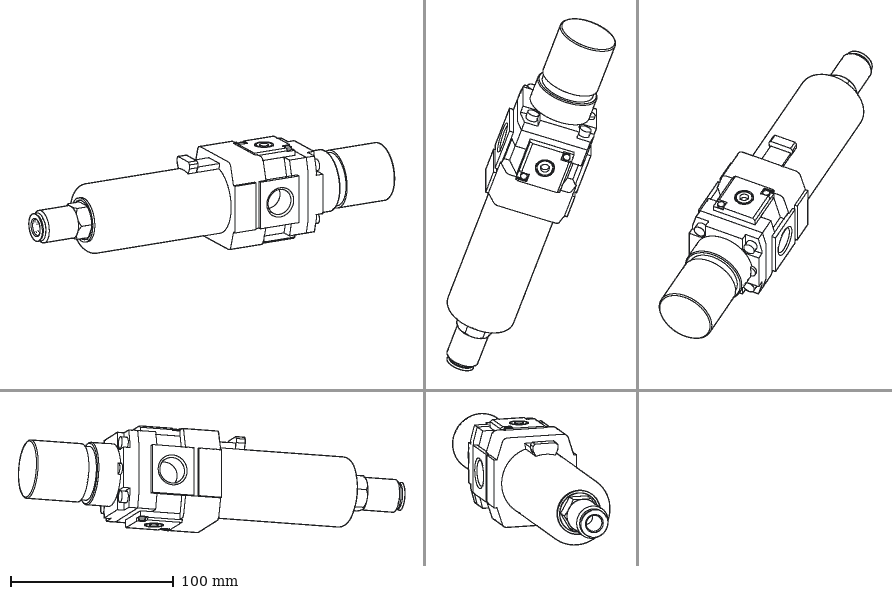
import cadquery as cq
import math


knob_end = 85.3
knob_bottom = 51.5
collar_top = 46.2
flange_top = 31.2
bonnet_joint = 21.0
recess_top = 9.3
shoulder = -9.0
body_bottom = -31.8
bowl_end = -123.0
boss_end = -124.4
hex_end = -132.4
barrel_end = -152.9
ring_start = -154.5
drain_end = -157.0

side_flat = 15.0
waist_half_width = 23.9
waist_top_half_width = 21.4
waist_half_height = 24.4
skirt_half_width = 24.7
skirt_top_half_width = 20.5
skirt_top = 28.5
skirt_bottom = -27.9
skirt_top_fillet = 3.6
skirt_bottom_fillet = 3.0
pad_half_width = 26.5
port_pad_top = 13.2
port_pad_bottom = -14.0
lower_pad_top = -17.0
recess_floor_z = 9.0
recess_floor_inner_x = 18.8
recess_floor_outer_x = 22.3

port_radius = 8.0
port_mouth_radius = 9.4
port_chamfer = 1.0
port_depth = 15.0
drill_tip_angle = 118.0

collar_radius = 19.3
collar_chamfer = 0.7
screw_offset = 17.0
screw_head_radius = 3.6
screw_head_height = 4.0
screw_clearance = 0.7
screw_seat = 26.8
vent_radius = 3.5
vent_reach = 22.5
vent_top = 32.9
knob_radius = 18.05
knob_chamfer = 0.8
neck_radius = 16.6

cover_half_width = 14.3
cover_top = 16.9
cover_lip = -10.6
cover_face = 29.45
cover_bevel_width = 1.6
cover_bevel_height = 1.3
notch_inner_x = 7.6
notch_length = 5.1
lower_notch_start = -9.4
notch_depth = 1.8
cover_screw_radius = 2.1
cover_screw_height = 1.4
cover_screw_x = 10.3
plug_recess_radius = 5.8
plug_radius = 4.9
plug_recess_depth = 1.5
plug_socket_radius = 2.7
plug_socket_depth = 3.0

bowl_radius = 21.7
bowl_fillet = 5.2
boss_radius = 13.8
boss_recess_radius = 12.3
boss_recess_depth = 1.2
hex_flat_radius = 9.95
hex_chamfer = 1.4
barrel_radius = 10.15
drain_neck_radius = 5.8
ring_radius = 8.7
ring_groove_depth = 0.9
tube_hole_radius = 5.0
tube_hole_depth = 20.0
tube_hole_chamfer = 0.7
rail_half_width = 6.9
button_start = -47.6
button_end = -53.5
button_top_z = 28.5
button_top_half_width = 6.8
button_half_width = 8.0
button_root_half_width = 6.2
button_shoulder_z = 27.0
button_waist_z = 24.4
button_root_z = 20.6


def extrude_y(outline, y_start, y_end):
    """Extrude a closed XZ outline from y_start up to y_end."""
    plane = cq.Plane(origin=(0, y_start, 0), xDir=(-1, 0, 0), normal=(0, 1, 0))
    points = [(-x, z) for x, z in outline]
    return cq.Workplane(plane).polyline(points).close().extrude(y_end - y_start)


def block(x_range, y_range, z_range):
    """Box between two limits on each axis."""
    sizes = [high - low for low, high in (x_range, y_range, z_range)]
    corner = (x_range[0], y_range[0], z_range[0])
    return cq.Workplane("XY").box(*sizes, centered=False).translate(corner)


def rod_y(radius, y_start, y_end, x=0.0, z=0.0):
    """Cylinder along Y."""
    plane = cq.Plane(origin=(x, y_start, z), xDir=(-1, 0, 0), normal=(0, 1, 0))
    return cq.Workplane(plane).circle(radius).extrude(y_end - y_start)


def turn_y(profile):
    """Revolve a closed (radius, y) profile about the Y axis."""
    return cq.Workplane("XY").polyline(profile).close().revolve(360, (0, 0, 0), (0, 1, 0))


def mirrored_outline(right_half):
    """Complete a right-hand half outline, listed bottom to top, with its mirror image."""
    return right_half + [(-x, z) for x, z in reversed(right_half)]


def waist(y_start, y_end):
    """Eight-sided section shared by the upper body and the bonnet flange."""
    outline = mirrored_outline([
        (waist_top_half_width, -waist_half_height),
        (waist_half_width, -side_flat),
        (waist_half_width, side_flat),
        (waist_top_half_width, waist_half_height),
    ])
    return extrude_y(outline, y_start, y_end)


def skirt():
    """Taller lower section of the body, rounded along its four long corners."""
    outline = mirrored_outline([
        (skirt_top_half_width, skirt_bottom),
        (skirt_half_width, -side_flat),
        (skirt_half_width, side_flat),
        (skirt_top_half_width, skirt_top),
    ])
    solid = extrude_y(outline, body_bottom, shoulder)
    solid = solid.faces(">Z").edges("|Y").fillet(skirt_top_fillet)
    return solid.faces("<Z").edges("|Y").fillet(skirt_bottom_fillet)


def pads(y_range):
    """Flat pads standing out on both sides of the body."""
    return block((-pad_half_width, pad_half_width), y_range, (-side_flat, side_flat))


def cover_side_recess(side_x, side_z):
    """Recess beside a cover: a trough behind the pad with a leaning wall up to the cover."""
    outline = [
        (side_x * recess_floor_inner_x, side_z * recess_floor_z),
        (side_x * recess_floor_outer_x, side_z * recess_floor_z),
        (side_x * waist_half_width, side_z * side_flat),
        (side_x * pad_half_width, side_z * side_flat),
        (side_x * pad_half_width, side_z * waist_half_height),
        (side_x * cover_half_width, side_z * waist_half_height),
    ]
    return extrude_y(outline, shoulder, recess_top)


def port(side):
    """Drilled port with a chamfered mouth and a conical bottom, on the +X or -X side."""
    bottom_x = pad_half_width - port_depth
    tip_x = bottom_x - port_radius / math.tan(math.radians(drill_tip_angle / 2))
    profile = [
        (side * pad_half_width, 0),
        (side * pad_half_width, port_mouth_radius),
        (side * (pad_half_width - port_chamfer), port_radius),
        (side * bottom_x, port_radius),
        (side * tip_x, 0),
    ]
    return cq.Workplane("XY").polyline(profile).close().revolve(360, (0, 0, 0), (1, 0, 0))


def make_body():
    body = waist(shoulder, bonnet_joint).union(skirt())
    body = body.union(pads((port_pad_bottom, port_pad_top)))
    body = body.union(pads((body_bottom, lower_pad_top)))
    for side_x in (-1, 1):
        body = body.cut(port(side_x))
        for side_z in (-1, 1):
            body = body.cut(cover_side_recess(side_x, side_z))
    return body


def screw_corner(side_x, side_z):
    """Open corner around one bonnet screw, rounded to follow the screw head."""
    pocket_radius = screw_head_radius + screw_clearance
    inner = screw_offset - pocket_radius
    size = pad_half_width - inner
    center = inner + size / 2
    plane = cq.Plane(origin=(side_x * center, screw_seat, side_z * center), xDir=(-1, 0, 0), normal=(0, 1, 0))
    corner = cq.Workplane(plane).rect(size, size).extrude(flange_top - screw_seat)
    inner_edge = cq.selectors.NearestToPointSelector((side_x * inner, screw_seat, side_z * inner))
    return corner.edges("|Y").edges(inner_edge).fillet(pocket_radius)


def make_bonnet():
    bonnet = waist(bonnet_joint, flange_top)
    for side_x in (-1, 1):
        for side_z in (-1, 1):
            bonnet = bonnet.cut(screw_corner(side_x, side_z))
            head_x = side_x * screw_offset
            head_z = side_z * screw_offset
            head = rod_y(screw_head_radius, screw_seat, screw_seat + screw_head_height, head_x, head_z)
            bonnet = bonnet.union(head)
    collar = rod_y(collar_radius, flange_top, collar_top).faces(">Y").chamfer(collar_chamfer)
    vent = rod_y(vent_radius, flange_top, vent_top, x=vent_radius - vent_reach)
    return bonnet.union(collar).union(vent)


def make_knob():
    grip = rod_y(knob_radius, knob_bottom, knob_end).faces(">Y").chamfer(knob_chamfer)
    return grip.union(rod_y(neck_radius, collar_top, knob_bottom))


def cover_notch(side, y_range):
    """Open corner around one cover screw."""
    x_range = sorted((side * notch_inner_x, side * cover_half_width))
    return block(x_range, y_range, (cover_face - notch_depth, cover_face))


def cover_screw(side, y_range):
    """Screw head standing in the middle of a cover notch."""
    seat = cq.Workplane("XY", origin=(side * cover_screw_x, sum(y_range) / 2, cover_face - notch_depth))
    return seat.circle(cover_screw_radius).extrude(cover_screw_height)


def plug_recess():
    """Ring groove around the gauge plug and the socket in its middle."""
    face = cq.Workplane("XY", origin=(0, (cover_top + cover_lip) / 2, cover_face))
    ring = face.circle(plug_recess_radius).circle(plug_radius).extrude(-plug_recess_depth)
    socket = face.circle(plug_socket_radius).extrude(-plug_socket_depth)
    return ring.union(socket)


def make_cover(skirt_face):
    """Cover on the +Z side, with a lip over the skirt whose face lies at skirt_face."""
    bevel_x = cover_half_width - cover_bevel_width
    bevel_z = cover_face - cover_bevel_height
    outline = mirrored_outline([
        (cover_half_width, waist_half_height),
        (cover_half_width, bevel_z),
        (bevel_x, cover_face),
    ])
    cover = extrude_y(outline, cover_lip, cover_top)
    half_widths = (-cover_half_width, cover_half_width)
    cover = cover.cut(block(half_widths, (cover_lip, shoulder), (waist_half_height, skirt_face)))
    upper_corner = (cover_top - notch_length, cover_top)
    lower_corner = (lower_notch_start, lower_notch_start + notch_length)
    for side, y_range in ((1, upper_corner), (-1, lower_corner)):
        cover = cover.cut(cover_notch(side, y_range)).union(cover_screw(side, y_range))
    return cover.cut(plug_recess())


def lock_button():
    """Raised rail along the bowl that ends in a taller six-sided button."""
    rail_outline = mirrored_outline([
        (button_root_half_width, button_root_z),
        (rail_half_width, button_waist_z),
    ])
    button_outline = mirrored_outline([
        (button_root_half_width, button_root_z),
        (button_half_width, button_waist_z),
        (button_half_width, button_shoulder_z),
        (button_top_half_width, button_top_z),
    ])
    rail = extrude_y(rail_outline, button_end, body_bottom)
    button = extrude_y(button_outline, button_end, button_start)
    return rail.union(button)


def drain_hex():
    """Hexagon with its corners on the X axis, chamfered at the barrel end."""
    hex_root = boss_end + boss_recess_depth
    corner_radius = hex_flat_radius / math.cos(math.pi / 6)
    plane = cq.Plane(origin=(0, hex_end, 0), xDir=(1, 0, 0), normal=(0, 1, 0))
    hexagon = cq.Workplane(plane).polygon(6, 2 * corner_radius).extrude(hex_root - hex_end)
    envelope = rod_y(corner_radius, hex_end, hex_root).faces("<Y").chamfer(hex_chamfer)
    return hexagon.intersect(envelope)


def drain_outlet():
    """Barrel, neck and grooved release ring around the tube hole."""
    groove_y = (ring_start + drain_end) / 2
    hole_bottom = drain_end + tube_hole_depth
    return turn_y([
        (0, hex_end),
        (barrel_radius, hex_end),
        (barrel_radius, barrel_end),
        (drain_neck_radius, barrel_end),
        (drain_neck_radius, ring_start),
        (ring_radius, ring_start),
        (ring_radius - ring_groove_depth, groove_y),
        (ring_radius, drain_end),
        (tube_hole_radius + tube_hole_chamfer, drain_end),
        (tube_hole_radius, drain_end + tube_hole_chamfer),
        (tube_hole_radius, hole_bottom),
        (0, hole_bottom),
    ])


def make_bowl():
    bowl = rod_y(bowl_radius, bowl_end, body_bottom).faces("<Y").edges().fillet(bowl_fillet)
    bowl = bowl.union(rod_y(boss_radius, boss_end, bowl_end))
    bowl = bowl.cut(rod_y(boss_recess_radius, boss_end, boss_end + boss_recess_depth))
    return bowl.union(drain_hex()).union(drain_outlet()).union(lock_button())


body = make_body()
bonnet = make_bonnet()
knob = make_knob()
bowl = make_bowl()
upper_cover = make_cover(skirt_top)
lower_cover = make_cover(-skirt_bottom).rotate((0, 0, 0), (0, 1, 0), 180)

result = cq.Compound.makeCompound([
    body.val(),
    bonnet.val(),
    knob.val(),
    bowl.val(),
    upper_cover.val(),
    lower_cover.val(),
])